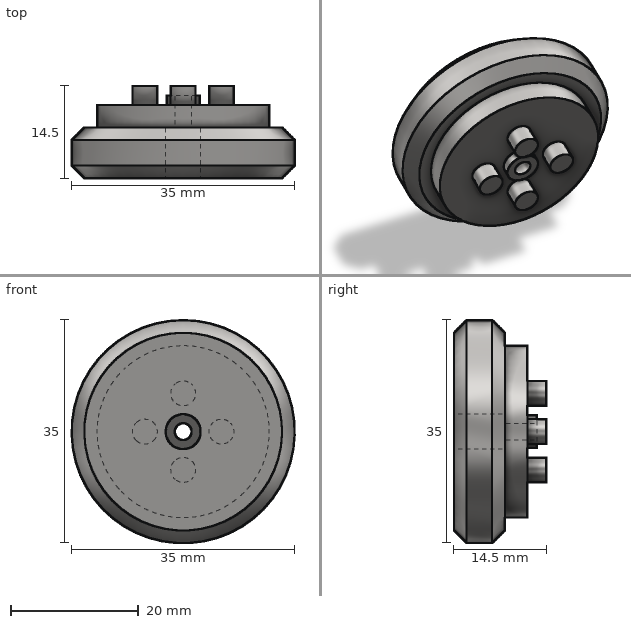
import cadquery as cq

wheel_diameter = 35.0
wheel_width = 8.0
rim_chamfer = 2.0

step_diameter = 27.0
step_height = 3.5

collar_diameter = 5.2
collar_height = 1.5
pin_diameter = 3.9
pin_height = 3.0
pin_count = 4
pin_circle_radius = 6.0

screw_hole_diameter = 2.6
head_bore_diameter = 5.5
head_bore_depth = wheel_width

front_y = 0.0
step_base_y = front_y + wheel_width
step_face_y = step_base_y + step_height
collar_face_y = step_face_y + collar_height


def plane_at(y):
    """Plane across the axis at the given Y, with its normal along +Y."""
    return cq.Workplane("ZX", origin=(0, y, 0))


def cylinder(diameter, start_y, length):
    """Cylinder on the wheel axis, growing toward +Y."""
    return plane_at(start_y).circle(diameter / 2).extrude(length)


def make_wheel():
    disc = cylinder(wheel_diameter, front_y, wheel_width)
    return disc.edges("%CIRCLE").chamfer(rim_chamfer)


def make_pins():
    return (
        plane_at(step_face_y)
        .polarArray(pin_circle_radius, 0, 360, pin_count)
        .circle(pin_diameter / 2)
        .extrude(pin_height)
    )


def make_screw_hole():
    through_hole = cylinder(screw_hole_diameter, front_y, collar_face_y - front_y)
    head_bore = cylinder(head_bore_diameter, front_y, head_bore_depth)
    return through_hole.union(head_bore)


step = cylinder(step_diameter, step_base_y, step_height)
collar = cylinder(collar_diameter, step_face_y, collar_height)

result = make_wheel().union(step).union(collar).union(make_pins()).cut(make_screw_hole())